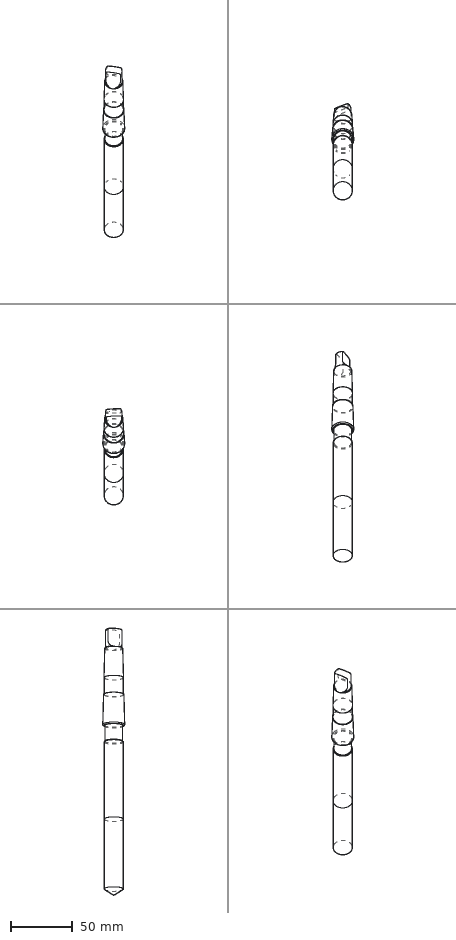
import cadquery as cq
import math

total_length = 222.2

body_diameter = 15.5
point_height = 5.3
tip_length = 63.5

body_top = 128.5
body_chamfer = 0.7
neck_diameter = 14.5
taper_bottom = 141.4
taper_large_diameter = 18.0
taper_chamfer = 1.0
taper_top = 205.5
taper_ratio = 1 / 20
groove_bottom = 167.4
groove_top = 181.4
groove_diameter = 15.5

tang_diameter = 13.5
tang_thickness = 6.2
tang_angle = 37.0
flat_bottom = 211.4
runout_radius = 6.0
shoulder_chamfer = 0.7
crown_height = 0.7
tang_edge_radius = 1.5

body_radius = body_diameter / 2
neck_radius = neck_diameter / 2
groove_radius = groove_diameter / 2
tang_radius = tang_diameter / 2


def taper_radius(z):
    """Radius of the tapered shank at height z."""
    return (taper_large_diameter - taper_ratio * (z - taper_bottom)) / 2


def revolve_outline(outline):
    """Close an XZ outline along the Z axis and revolve it about that axis."""
    return outline.close().revolve(360, (0, 0), (0, 1))


def make_tip():
    outline = cq.Workplane("XZ").polyline([
        (0, 0),
        (body_radius, point_height),
        (body_radius, tip_length),
        (0, tip_length),
    ])
    return revolve_outline(outline)


def make_shank_blank():
    chamfer_top = taper_bottom + taper_chamfer
    crown_bottom = total_length - crown_height
    crown_radius = tang_radius - tang_edge_radius
    tang_edge_bottom = crown_bottom - tang_edge_radius
    edge_diagonal = tang_edge_radius * math.sqrt(0.5)
    outline = cq.Workplane("XZ").polyline([
        (0, tip_length),
        (body_radius, tip_length),
        (body_radius, body_top - body_chamfer),
        (body_radius - body_chamfer, body_top),
        (neck_radius, body_top),
        (neck_radius, taper_bottom),
        (taper_radius(chamfer_top) - taper_chamfer, taper_bottom),
        (taper_radius(chamfer_top), chamfer_top),
        (taper_radius(groove_bottom), groove_bottom),
        (groove_radius, groove_bottom),
        (groove_radius, groove_top),
        (taper_radius(groove_top), groove_top),
        (taper_radius(taper_top), taper_top),
        (tang_radius, taper_top + shoulder_chamfer),
        (tang_radius, tang_edge_bottom),
    ])
    outline = outline.threePointArc(
        (crown_radius + edge_diagonal, tang_edge_bottom + edge_diagonal),
        (crown_radius, crown_bottom),
    )
    return revolve_outline(outline.lineTo(0, total_length))


def make_flat_cutter():
    """Material removed beside one tang flat, with the concave run-out below it."""
    flat_offset = tang_thickness / 2
    runout_centre = flat_offset + runout_radius
    diagonal = runout_radius * math.sqrt(0.5)
    return (
        cq.Workplane("YZ")
        .moveTo(flat_offset, total_length)
        .lineTo(flat_offset, flat_bottom)
        .threePointArc(
            (runout_centre - diagonal, flat_bottom - diagonal),
            (runout_centre, flat_bottom - runout_radius),
        )
        .lineTo(runout_centre, total_length)
        .close()
        .extrude(tang_diameter, both=True)
    )


def make_shank():
    shank = make_shank_blank()
    cutter = make_flat_cutter()
    for side_angle in (0, 180):
        shank = shank.cut(cutter.rotate((0, 0, 0), (0, 0, 1), tang_angle + side_angle))
    return shank


tip = make_tip()
shank = make_shank()

result = cq.Compound.makeCompound([tip.val(), shank.val()])